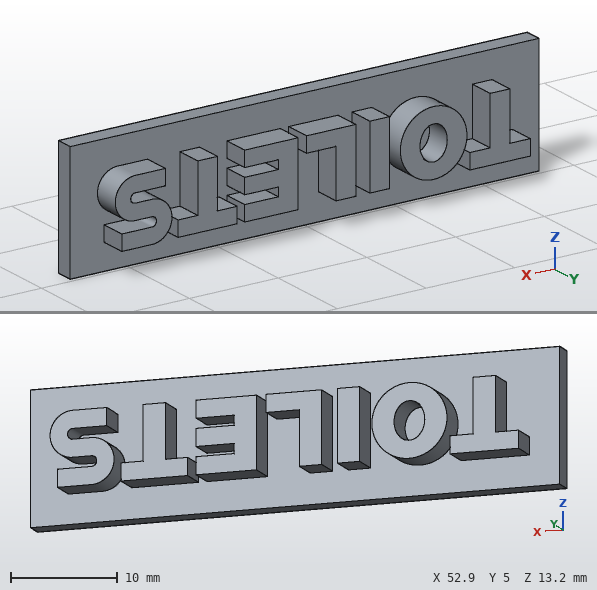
import cadquery as cq

plate_length = 52.85
plate_height = 13.25
total_depth = 5.0
plate_thickness = 2.0
letter_relief = total_depth - plate_thickness

letter_height = 7.2
overshoot = 0.1
stem_width = 2.2
bar_width = 1.75

first_t_left, first_t_width = -23.4, 6.8
o_left, o_width = -16.25, 7.5
i_left = -7.55
l_left, l_width = -3.75, 5.55
e_left, e_width = 2.75, 6.0
second_t_left, second_t_width = 9.6, 6.65
s_left, s_width = 16.95, 6.4

letter_top = -letter_height / 2
letter_foot = letter_height / 2
round_height = letter_height + overshoot
round_middle = -overshoot / 2
s_end_inset = 0.75


def letter_plane():
    """XZ sketch plane on the +Y face of the plate."""
    return cq.Workplane("XZ", origin=(0, plate_thickness, 0))


def raise_outline(outline):
    """Extrude a closed outline away from the plate, toward +Y."""
    return outline.extrude(-letter_relief)


def block(left, low, width, height):
    """Raised rectangle given by its low corner and its size in X and Z."""
    outline = letter_plane().moveTo(left, low).rect(width, height, centered=False)
    return raise_outline(outline)


def stem(left):
    return block(left, letter_top, stem_width, letter_height)


def letter_t(left, width):
    upright = stem(left + (width - stem_width) / 2)
    return upright.union(block(left, letter_top, width, bar_width))


def letter_o(left, width):
    ring = letter_plane().center(left + width / 2, round_middle)
    ring = ring.ellipse(width / 2, round_height / 2)
    ring = ring.ellipse(width / 2 - stem_width, round_height / 2 - bar_width)
    return raise_outline(ring)


def letter_l(left, width):
    foot_bar = block(left, letter_foot - bar_width, width, bar_width)
    return stem(left).union(foot_bar)


def letter_e(left, width):
    middle_bar = block(left, -bar_width / 2, width, bar_width)
    top_bar = block(left, letter_top, width, bar_width)
    return letter_l(left, width).union(middle_bar).union(top_bar)


def letter_s(left, width):
    """Three bars joined by two half-round bowls, one on each side."""
    middle = left + width / 2
    end = width / 2
    tip = end - s_end_inset
    upper = round_height / 2
    outer_radius = (round_height + bar_width) / 4
    inner_radius = outer_radius - bar_width
    bowl_x = end - outer_radius
    bowl_z = upper - outer_radius
    half_bar = bar_width / 2

    outline = (
        letter_plane()
        .center(middle, round_middle)
        .moveTo(-tip, upper)
        .lineTo(bowl_x, upper)
        .threePointArc((end, bowl_z), (bowl_x, -half_bar))
        .lineTo(-bowl_x, -half_bar)
        .threePointArc((-bowl_x - inner_radius, -bowl_z), (-bowl_x, bar_width - upper))
        .lineTo(tip, bar_width - upper)
        .lineTo(tip, -upper)
        .lineTo(-bowl_x, -upper)
        .threePointArc((-end, -bowl_z), (-bowl_x, half_bar))
        .lineTo(bowl_x, half_bar)
        .threePointArc((bowl_x + inner_radius, bowl_z), (bowl_x, upper - bar_width))
        .lineTo(-tip, upper - bar_width)
        .close()
    )
    return raise_outline(outline)


letters = [
    letter_t(first_t_left, first_t_width),
    letter_o(o_left, o_width),
    stem(i_left),
    letter_l(l_left, l_width),
    letter_e(e_left, e_width),
    letter_t(second_t_left, second_t_width),
    letter_s(s_left, s_width),
]

result = cq.Workplane("XY").box(
    plate_length, plate_thickness, plate_height, centered=(True, False, True)
)
for letter in letters:
    result = result.union(letter)